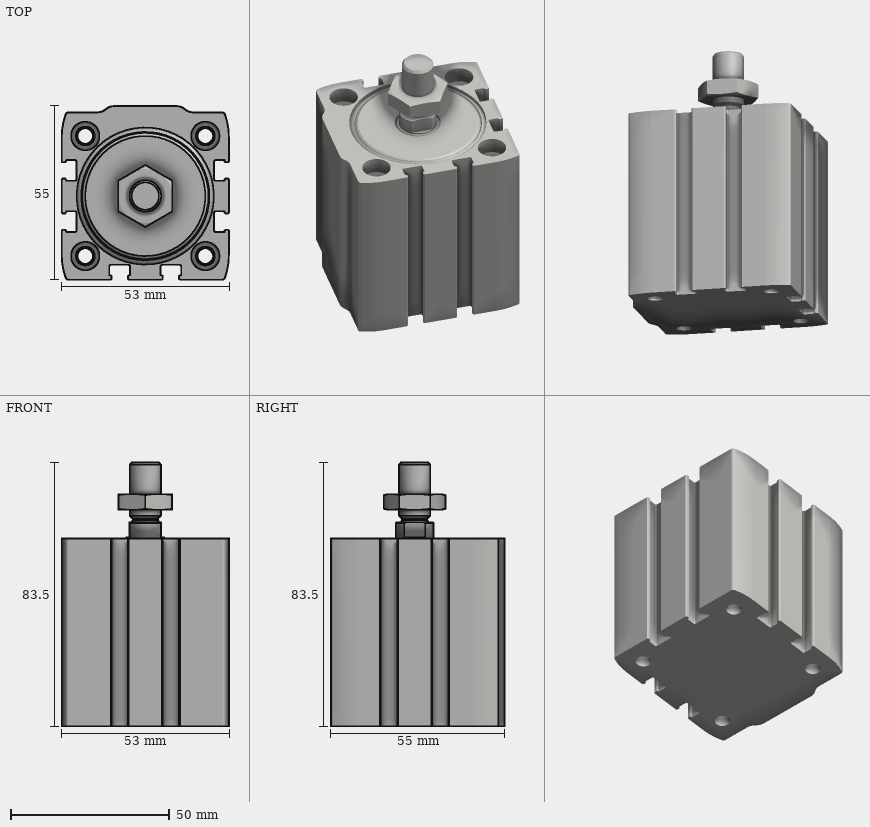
import cadquery as cq
import math

housing_width = 53.0
housing_height = 59.5
half_width = housing_width / 2
side_flat_half = 18.5
side_arc_radius = 22.0
corner_radius = 1.0

pad_height = 2.0
pad_flat_half = 9.8
pad_foot_half = 15.2

slot_pitch = 16.2
slot_depth = 4.7
slot_width = 6.5
slot_opening = 5.1
slot_mouth_chamfer = 0.35
slot_lip_depth = 1.5
slot_lip_flare = 0.4
slot_floor_radius = 0.5

mount_pitch = 38.0
counterbore_diameter = 9.0
counterbore_depth = 5.2
mount_hole_diameter = 4.92
mount_countersink_diameter = 6.0
mount_countersink_depth = 0.5

groove_outer_radius = 43.4 / 2
groove_outer_depth = 1.1
groove_cone_radius = 40.6 / 2
groove_cone_depth = 0.3
cover_rim_depth = 0.7
cover_rim_radius = 40.0 / 2
cover_bevel_radius = 39.0 / 2
cover_bevel_depth = 0.28
cover_face_radius = 38.0 / 2

rod_opening_radius = 14.5 / 2
wiper_tip_radius = 13.2 / 2
rod_opening_depth = 0.8
wiper_tip_depth = 0.1

rod_diameter = 12.0
rod_radius = rod_diameter / 2
rod_bottom_z = 40.0
rod_flat_width = 10.0
rod_flat_clearance = 0.3
rod_flat_bottom_z = housing_height + rod_flat_clearance
rod_shoulder_height = 5.0
rod_shoulder_z = housing_height + rod_shoulder_height
rod_shoulder_chamfer = 0.2
rod_top_z = 83.5
thread_radius = 10.0 / 2
thread_length = 16.8
thread_bottom_z = rod_top_z - thread_length
neck_radius = 8.1 / 2
neck_foot_radius = 8.65 / 2
neck_foot_height = 0.7
tip_radius = 8.65 / 2
tip_chamfer_height = 0.8
neck_top_z = thread_bottom_z - (thread_radius - neck_radius)

nut_across_flats = 17.0
nut_height = 5.0
rod_above_nut = 10.0
nut_top_z = rod_top_z - rod_above_nut
nut_chamfer_angle = 15.0
nut_sides = 6
nut_corner_radius = nut_across_flats / 2 / math.cos(math.pi / nut_sides)


def housing_outline():
    arc_angle = math.asin((half_width - side_flat_half) / side_arc_radius)

    def side_arc_x(angle):
        return half_width - side_arc_radius * (1 - math.cos(angle))

    def side_arc_y(angle):
        return side_flat_half + side_arc_radius * math.sin(angle)

    corner_x = side_arc_x(arc_angle)
    mid_x = side_arc_x(arc_angle / 2)
    mid_y = side_arc_y(arc_angle / 2)
    pad_mid = ((pad_flat_half + pad_foot_half) / 2, half_width + pad_height / 2)
    return (
        cq.Workplane("XY")
        .moveTo(-corner_x, -half_width)
        .lineTo(corner_x, -half_width)
        .threePointArc((mid_x, -mid_y), (half_width, -side_flat_half))
        .lineTo(half_width, side_flat_half)
        .threePointArc((mid_x, mid_y), (corner_x, half_width))
        .lineTo(pad_foot_half, half_width)
        .tangentArcPoint(pad_mid, relative=False)
        .tangentArcPoint((pad_flat_half, half_width + pad_height), relative=False)
        .lineTo(-pad_flat_half, half_width + pad_height)
        .tangentArcPoint((-pad_mid[0], pad_mid[1]), relative=False)
        .tangentArcPoint((-pad_foot_half, half_width), relative=False)
        .lineTo(-corner_x, half_width)
        .threePointArc((-mid_x, mid_y), (-half_width, side_flat_half))
        .lineTo(-half_width, -side_flat_half)
        .threePointArc((-mid_x, -mid_y), (-corner_x, -half_width))
        .close()
    )


def sensor_slot(offset):
    """Slot open to the -Y face, running the full height."""
    opening = slot_opening / 2
    wide = slot_width / 2
    mouth = opening + slot_mouth_chamfer
    half = [
        (mouth, 0),
        (opening, slot_mouth_chamfer),
        (opening, slot_lip_depth - slot_lip_flare),
        (opening + slot_lip_flare, slot_lip_depth),
        (wide, slot_lip_depth),
        (wide, slot_depth),
    ]
    points = half + [(-x, y) for x, y in reversed(half)]
    slot = cq.Workplane("XY").polyline(points).close().extrude(housing_height)
    return (
        slot.faces(">Y")
        .edges("|Z")
        .fillet(slot_floor_radius)
        .translate((offset, -half_width, 0))
    )


def ring_cut(profile):
    """Solid of revolution about Z from (radius, depth below the top face) points."""
    points = [(radius, housing_height - depth) for radius, depth in profile]
    return cq.Workplane("XZ").polyline(points).close().revolve(360, (0, 0, 0), (0, 1, 0))


def build_housing():
    body = housing_outline().extrude(housing_height)
    tolerance = 0.01
    corners = body.edges("|Z").filter(
        lambda e: abs(abs(e.Center().y) - half_width) < tolerance and abs(e.Center().x) > side_flat_half
    )
    body = corners.fillet(corner_radius)

    for angle in (-90, 0, 90):
        for side in (-1, 1):
            slot = sensor_slot(side * slot_pitch / 2)
            body = body.cut(slot.rotate((0, 0, 0), (0, 0, 1), angle))

    body = (
        body.faces(">Z")
        .workplane(origin=(0, 0, 0))
        .rect(mount_pitch, mount_pitch, forConstruction=True)
        .vertices()
        .cboreHole(mount_hole_diameter, counterbore_diameter, counterbore_depth)
    )
    floor_z = housing_height - counterbore_depth
    countersink = cq.Solid.makeCone(
        mount_hole_diameter / 2, mount_countersink_diameter / 2, mount_countersink_depth,
        pnt=cq.Vector(0, 0, floor_z - mount_countersink_depth),
    )
    for x in (-mount_pitch / 2, mount_pitch / 2):
        for y in (-mount_pitch / 2, mount_pitch / 2):
            body = body.cut(cq.Workplane(countersink.translate(cq.Vector(x, y, 0))))

    body = body.cut(ring_cut([
        (groove_outer_radius, 0),
        (groove_outer_radius, groove_outer_depth),
        (groove_cone_radius, groove_cone_depth),
        (cover_rim_radius, cover_rim_depth),
        (cover_bevel_radius, cover_bevel_depth),
        (cover_face_radius, 0),
    ]))
    body = body.cut(ring_cut([
        (0, 0),
        (rod_opening_radius, 0),
        (rod_opening_radius, rod_opening_depth),
        (wiper_tip_radius, wiper_tip_depth),
        (rod_radius, wiper_tip_depth),
        (rod_radius, housing_height - rod_bottom_z),
        (0, housing_height - rod_bottom_z),
    ]))
    return body


def build_rod():
    rod = (
        cq.Workplane("XZ")
        .moveTo(0, rod_bottom_z)
        .lineTo(rod_radius, rod_bottom_z)
        .lineTo(rod_radius, rod_shoulder_z - rod_shoulder_chamfer)
        .lineTo(rod_radius - rod_shoulder_chamfer, rod_shoulder_z)
        .lineTo(neck_foot_radius, rod_shoulder_z)
        .lineTo(neck_radius, rod_shoulder_z + neck_foot_height)
        .lineTo(neck_radius, neck_top_z)
        .lineTo(thread_radius, thread_bottom_z)
        .lineTo(thread_radius, rod_top_z - tip_chamfer_height)
        .lineTo(tip_radius, rod_top_z)
        .lineTo(0, rod_top_z)
        .close()
        .revolve(360, (0, 0, 0), (0, 1, 0))
    )
    flat_height = rod_shoulder_z - rod_flat_bottom_z
    flats = (
        cq.Workplane("XY", origin=(0, 0, rod_flat_bottom_z))
        .rect(2 * rod_diameter, 2 * rod_diameter)
        .rect(rod_flat_width, 2 * rod_diameter)
        .extrude(flat_height)
    )
    return rod.cut(flats)


def build_nut():
    nut_bottom_z = nut_top_z - nut_height
    hexagon = (
        cq.Workplane("XY", origin=(0, 0, nut_bottom_z))
        .polygon(nut_sides, 2 * nut_corner_radius)
        .circle(thread_radius)
        .extrude(nut_height)
        .rotate((0, 0, 0), (0, 0, 1), 90)
    )
    face_radius = nut_across_flats / 2
    bevel = (nut_corner_radius - face_radius) * math.tan(math.radians(nut_chamfer_angle))
    envelope = (
        cq.Workplane("XZ")
        .polyline([
            (0, nut_bottom_z),
            (face_radius, nut_bottom_z),
            (nut_corner_radius, nut_bottom_z + bevel),
            (nut_corner_radius, nut_top_z - bevel),
            (face_radius, nut_top_z),
            (0, nut_top_z),
        ])
        .close()
        .revolve(360, (0, 0, 0), (0, 1, 0))
    )
    return hexagon.intersect(envelope)


housing = build_housing()
rod = build_rod()
nut = build_nut()

result = cq.Compound.makeCompound([housing.val(), rod.val(), nut.val()])